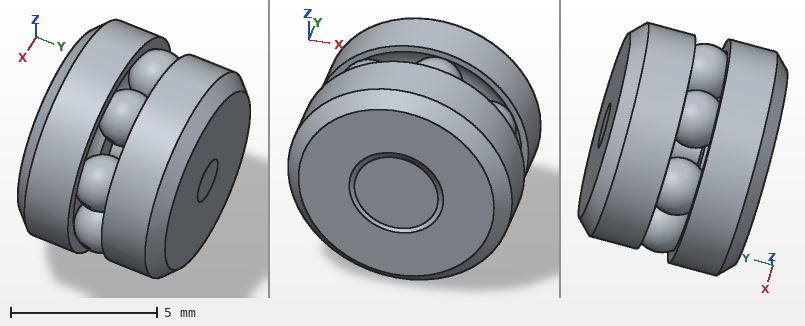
import cadquery as cq
import math

front_washer_diameter = 7.94
back_washer_diameter = 7.58
overall_length = 5.54
washer_gap = 1.2
washer_thickness = (overall_length - washer_gap) / 2
rim_chamfer = 0.51

ball_count = 7
ball_radius = 0.99
ball_circle_radius = 2.755

pin_diameter = 1.57
pin_head_diameter = 2.96
clearance_bore_diameter = 1.83
countersink_diameter = 3.335

front_end = -overall_length / 2
back_end = overall_length / 2
back_race_face = washer_gap / 2


def disc(diameter, start, length):
    """Solid disc on the Y axis, growing toward +Y from start."""
    return (
        cq.Workplane("XZ", origin=(0, start, 0))
        .circle(diameter / 2)
        .extrude(-length)
    )


def countersunk_rod(rod_diameter, head_diameter):
    """Full-length rod with a 45 degree conical head flush with the front end."""
    rod_radius = rod_diameter / 2
    head_radius = head_diameter / 2
    head_depth = head_radius - rod_radius
    return (
        cq.Workplane("XY")
        .moveTo(0, front_end)
        .lineTo(head_radius, front_end)
        .lineTo(rod_radius, front_end + head_depth)
        .lineTo(rod_radius, back_end)
        .lineTo(0, back_end)
        .close()
        .revolve(360, (0, 0, 0), (0, 1, 0))
    )


def ball_track():
    """Ring swept by the balls, which forms the race grooves in both washers."""
    return cq.Workplane(cq.Solid.makeTorus(
        ball_circle_radius, ball_radius, cq.Vector(0, 0, 0), cq.Vector(0, 1, 0)
    ))


def make_front_washer():
    washer = disc(front_washer_diameter, front_end, washer_thickness)
    washer = washer.faces("<Y").chamfer(rim_chamfer)
    countersunk_bore = countersunk_rod(clearance_bore_diameter, countersink_diameter)
    return washer.cut(countersunk_bore).cut(ball_track())


def make_back_washer():
    washer = disc(back_washer_diameter, back_race_face, washer_thickness)
    washer = washer.faces(">Y").chamfer(rim_chamfer)
    pin_bore = disc(pin_diameter, back_race_face, washer_thickness)
    return washer.cut(pin_bore).cut(ball_track())


def make_ball(angle):
    """One ball, placed at an angle in radians from -X toward +Z."""
    x = -ball_circle_radius * math.cos(angle)
    z = ball_circle_radius * math.sin(angle)
    return cq.Workplane("XY").sphere(ball_radius).translate((x, 0, z))


front_washer = make_front_washer()
back_washer = make_back_washer()
pin = countersunk_rod(pin_diameter, pin_head_diameter)
balls = [make_ball(2 * math.pi * i / ball_count) for i in range(ball_count)]

result = cq.Compound.makeCompound([
    front_washer.val(),
    back_washer.val(),
    pin.val(),
    *[ball.val() for ball in balls],
])